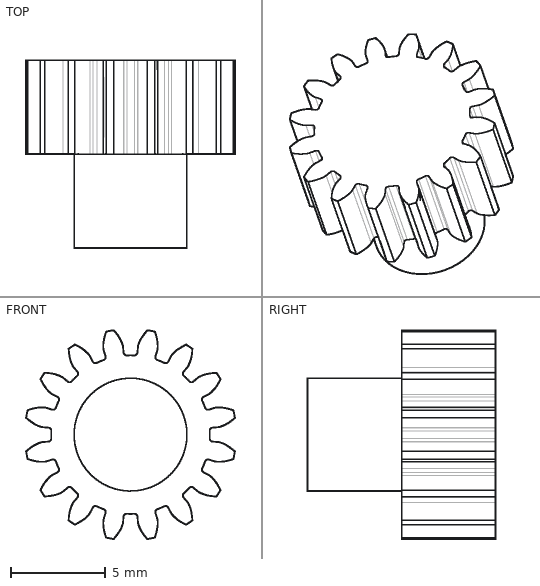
import cadquery as cq
import math

tooth_count = 16
pitch_radius = 5.0
module = 2 * pitch_radius / tooth_count
pressure_angle = math.radians(20)
dedendum_factor = 1.25
fillet_factor = 0.25
tip_radius = pitch_radius + module
root_radius = pitch_radius - dedendum_factor * module
base_radius = pitch_radius * math.cos(pressure_angle)
root_fillet = fillet_factor * module
gear_width = 5.0

corner_tolerance = 0.01

hub_diameter = 6.0
hub_length = 5.0

tooth_pitch = 2 * math.pi / tooth_count
half_tooth_at_pitch = tooth_pitch / 4
flank_points = 6


def involute(angle):
    """Polar angle of the involute curve at a given pressure angle."""
    return math.tan(angle) - angle


def half_tooth_angle(radius):
    """Half the angle spanned by a tooth at a radius on its involute flank."""
    roll = math.acos(base_radius / radius)
    return half_tooth_at_pitch + involute(pressure_angle) - involute(roll)


def polar(radius, angle):
    """Cartesian point in the gear plane."""
    return (radius * math.cos(angle), radius * math.sin(angle))


def flank(center_angle, side):
    """Points on one involute flank, from the base circle out to the tip."""
    tip_unwind = math.sqrt((tip_radius / base_radius) ** 2 - 1)
    unwinds = [tip_unwind * i / (flank_points - 1) for i in range(flank_points)]
    radii = [base_radius * math.hypot(1, unwind) for unwind in unwinds]
    return [polar(r, center_angle + side * half_tooth_angle(r)) for r in radii]


def make_tooth(center_angle):
    """One tooth, rooted inside the gear body, with radial flanks below the base circle."""
    inner_radius = root_radius - module
    base_half_angle = half_tooth_angle(base_radius)
    lower = flank(center_angle, -1)
    upper = flank(center_angle, 1)[::-1]
    return (
        cq.Workplane("XZ")
        .moveTo(*polar(inner_radius, center_angle - base_half_angle))
        .lineTo(*lower[0])
        .spline(lower[1:], includeCurrent=True)
        .threePointArc(polar(tip_radius, center_angle), upper[0])
        .spline(upper[1:], includeCurrent=True)
        .lineTo(*polar(inner_radius, center_angle + base_half_angle))
        .close()
        .extrude(-gear_width)
    )


def is_root_corner(edge):
    """True for an edge along Y where a tooth flank meets the root circle."""
    center = edge.Center()
    return abs(math.hypot(center.x, center.z) - root_radius) < corner_tolerance


def make_gear():
    """Spur gear along Y with a tooth space centred on the X axis."""
    gear = cq.Workplane("XZ").circle(root_radius).extrude(-gear_width)
    for i in range(tooth_count):
        gear = gear.union(make_tooth((i + 0.5) * tooth_pitch))
    return gear.edges("|Y").filter(is_root_corner).fillet(root_fillet)


def make_hub():
    """Plain round hub on the -Y face of the gear."""
    return cq.Workplane("XZ").circle(hub_diameter / 2).extrude(hub_length)


result = make_gear().union(make_hub())